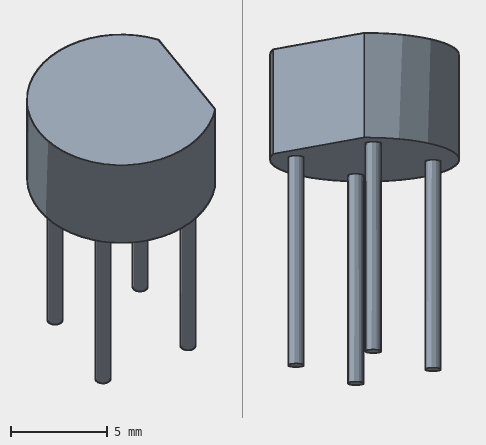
import cadquery as cq

total_height = 16.7
housing_diameter = 9.84
housing_depth = 8.82
housing_height = 5.6
pin_diameter = 0.82
pin_pitch = 5.08

housing_radius = housing_diameter / 2
flat_y = housing_depth - housing_radius
pin_length = total_height - housing_height


def make_housing():
    """Round housing with a flat on its +Y side, standing on Z = 0."""
    cylinder = cq.Workplane("XY").circle(housing_radius).extrude(housing_height)
    beyond_flat = (
        cq.Workplane("XY")
        .center(0, flat_y)
        .box(housing_diameter, housing_diameter, housing_height, centered=(True, False, False))
    )
    return cylinder.cut(beyond_flat)


def make_pin(x, y):
    """Straight round pin hanging from the underside of the housing."""
    return cq.Workplane("XY").center(x, y).circle(pin_diameter / 2).extrude(-pin_length)


housing = make_housing()

pins = []
for x_side in (-1, 1):
    for y_side in (-1, 1):
        pins.append(make_pin(x_side * pin_pitch / 2, y_side * pin_pitch / 2))

result = cq.Compound.makeCompound([housing.val(), *[pin.val() for pin in pins]])